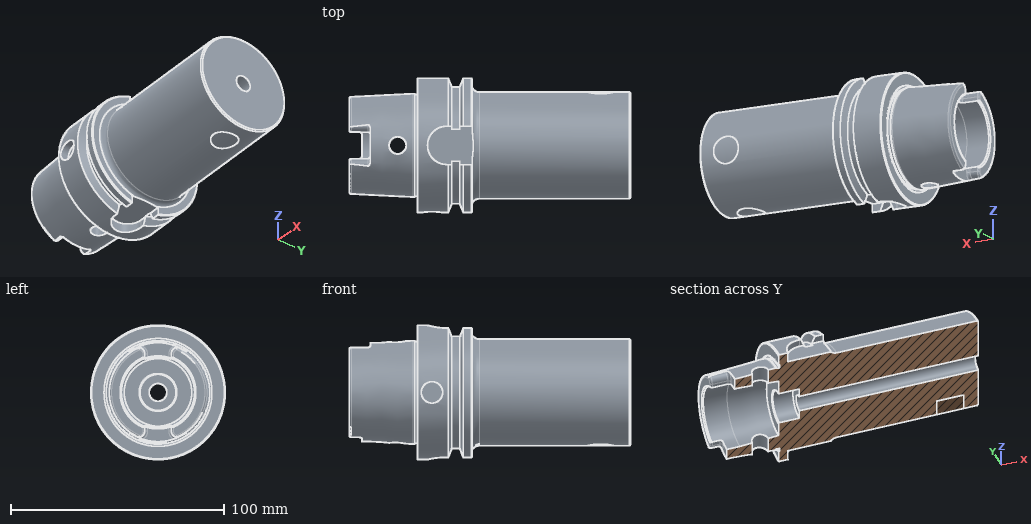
import cadquery as cq
import math

TOTAL_LENGTH = 131.9
FLANGE_RADIUS = 31.5
SHANK_RADIUS = 25.0
SHANK_CHAMFER = 0.7

NOSE_RADIUS = 22.8
TAPER_BASE_RADIUS = 24.3
TAPER_LENGTH = 29.8
COLLAR_END = 30.7
UNDERCUT_RADIUS = 23.9
UNDERCUT_RIM_RADIUS = 25.3
UNDERCUT_DEPTH = 0.5
NOSE_ROUNDING = 0.9

FLANGE_START = 31.8
FLANGE_END = 57.6
FLANGE_CHAMFER = 0.4
GROOVE_START = 46.4
GROOVE_END = 53.4
GROOVE_FLANK_WIDTH = 1.7
GROOVE_RADIUS = 27.5
NECK_RADIUS = 27.2
NECK_END = 60.8

MOUTH_RADIUS = 17.1
MOUTH_CHAMFER = 0.7
MOUTH_DEPTH = 12.4
BORE_FLOOR_RADIUS = 15.8
BORE_DEPTH = FLANGE_START
COUNTERBORE_RADIUS = 8.5
COUNTERBORE_CHAMFER = 0.4
COUNTERBORE_DEPTH = 42.2
COOLANT_RADIUS = 4.1

DRIVE_SLOT_WIDTH = 12.4
UPPER_DRIVE_DEPTH = 9.9
LOWER_DRIVE_DEPTH = 6.0
DRIVE_SHOULDER_HEIGHT = 21.1
DRIVE_LIP_RADIUS = 3.0
DRIVE_END_ROUNDING = 1.2

CROSS_HOLE_X = 22.7
CROSS_HOLE_RADIUS = 4.0
DATA_HOLE_X = 38.8
DATA_HOLE_RADIUS = 5.0
DATA_HOLE_DEPTH = 4.5

FLANGE_SLOT_START = 36.7
FLANGE_SLOT_FLOOR = 26.4
UPPER_FLANGE_SLOT_WIDTH = 18.0
LOWER_FLANGE_SLOT_WIDTH = 15.5

PLUG_X = 117.8
PLUG_RADIUS = 6.6
PLUG_LENGTH = 7.9
PLUG_ANGLES = (0, -90)

EDGE_MARGIN = 0.1


def revolved(profile):
    return profile.close().revolve(360, (0, 0, 0), (1, 0, 0))


def outer_body():
    groove_floor_start = GROOVE_START + GROOVE_FLANK_WIDTH
    groove_floor_end = GROOVE_END - GROOVE_FLANK_WIDTH
    neck_run = NECK_END - FLANGE_END
    neck_rise = NECK_RADIUS - SHANK_RADIUS
    arc_radius = (neck_run**2 + neck_rise**2) / (2 * neck_rise)
    half_angle = math.atan2(neck_run, arc_radius - neck_rise) / 2
    arc_middle = (
        NECK_END - arc_radius * math.sin(half_angle),
        SHANK_RADIUS + arc_radius * (1 - math.cos(half_angle)),
    )
    rim_inset = NOSE_ROUNDING * (1 - math.sqrt(0.5))
    rim_middle = (rim_inset, NOSE_RADIUS - rim_inset)
    profile = (
        cq.Workplane("XY")
        .moveTo(0, 0)
        .lineTo(0, NOSE_RADIUS - NOSE_ROUNDING)
        .threePointArc(rim_middle, (NOSE_ROUNDING, NOSE_RADIUS))
        .lineTo(TAPER_LENGTH, TAPER_BASE_RADIUS)
        .lineTo(COLLAR_END, TAPER_BASE_RADIUS)
        .lineTo(COLLAR_END, UNDERCUT_RADIUS)
        .lineTo(FLANGE_START + UNDERCUT_DEPTH, UNDERCUT_RADIUS)
        .lineTo(FLANGE_START + UNDERCUT_DEPTH, UNDERCUT_RIM_RADIUS)
        .lineTo(FLANGE_START, UNDERCUT_RIM_RADIUS)
        .lineTo(FLANGE_START, FLANGE_RADIUS - FLANGE_CHAMFER)
        .lineTo(FLANGE_START + FLANGE_CHAMFER, FLANGE_RADIUS)
        .lineTo(GROOVE_START, FLANGE_RADIUS)
        .lineTo(groove_floor_start, GROOVE_RADIUS)
        .lineTo(groove_floor_end, GROOVE_RADIUS)
        .lineTo(GROOVE_END, FLANGE_RADIUS)
        .lineTo(FLANGE_END - FLANGE_CHAMFER, FLANGE_RADIUS)
        .lineTo(FLANGE_END, FLANGE_RADIUS - FLANGE_CHAMFER)
        .lineTo(FLANGE_END, NECK_RADIUS)
        .threePointArc(arc_middle, (NECK_END, SHANK_RADIUS))
        .lineTo(TOTAL_LENGTH - SHANK_CHAMFER, SHANK_RADIUS)
        .lineTo(TOTAL_LENGTH, SHANK_RADIUS - SHANK_CHAMFER)
        .lineTo(TOTAL_LENGTH, 0)
    )
    return revolved(profile)


def stepped_bore():
    profile = (
        cq.Workplane("XY")
        .moveTo(0, 0)
        .lineTo(0, MOUTH_RADIUS + MOUTH_CHAMFER)
        .lineTo(MOUTH_CHAMFER, MOUTH_RADIUS)
        .lineTo(MOUTH_DEPTH, MOUTH_RADIUS)
        .lineTo(BORE_DEPTH, BORE_FLOOR_RADIUS)
        .lineTo(BORE_DEPTH, COUNTERBORE_RADIUS + COUNTERBORE_CHAMFER)
        .lineTo(BORE_DEPTH + COUNTERBORE_CHAMFER, COUNTERBORE_RADIUS)
        .lineTo(COUNTERBORE_DEPTH, COUNTERBORE_RADIUS)
        .lineTo(COUNTERBORE_DEPTH, COOLANT_RADIUS)
        .lineTo(TOTAL_LENGTH, COOLANT_RADIUS)
        .lineTo(TOTAL_LENGTH, 0)
    )
    return revolved(profile)


def drive_slot(depth):
    """Slot at +Z that widens over rounded lips onto a flat shoulder on each side."""
    half_width = DRIVE_SLOT_WIDTH / 2
    floor = MOUTH_RADIUS / 2
    top = FLANGE_RADIUS
    shoulder = DRIVE_SHOULDER_HEIGHT
    lip_y = half_width + DRIVE_LIP_RADIUS
    lip_z = shoulder - DRIVE_LIP_RADIUS
    diagonal = DRIVE_LIP_RADIUS * math.sqrt(0.5)
    lip_middle = (lip_y - diagonal, lip_z + diagonal)
    slot = (
        cq.Workplane("YZ")
        .moveTo(-half_width, floor)
        .lineTo(half_width, floor)
        .lineTo(half_width, lip_z)
        .threePointArc(lip_middle, (lip_y, shoulder))
        .lineTo(top, shoulder)
        .lineTo(top, top)
        .lineTo(-top, top)
        .lineTo(-top, shoulder)
        .lineTo(-lip_y, shoulder)
        .threePointArc((-lip_middle[0], lip_middle[1]), (-half_width, lip_z))
        .close()
        .extrude(depth)
    )
    slot = slot.faces(">X").edges().fillet(DRIVE_END_ROUNDING)
    plate = cq.Workplane("YZ").rect(4 * top, 4 * top).extrude(-NOSE_ROUNDING)
    reach = 1.1 * top
    mouth_edge = cq.selectors.BoxSelector((-EDGE_MARGIN, -reach, 0), (EDGE_MARGIN, reach, reach))
    return slot.union(plate).edges(mouth_edge).fillet(NOSE_ROUNDING)


def flange_slot(width):
    """Flat-floored slot at +Z, round at its -X end and open at the +X end of the flange."""
    centre_x = FLANGE_SLOT_START + width / 2
    return (
        cq.Workplane("XY", origin=(0, 0, FLANGE_SLOT_FLOOR))
        .moveTo(NECK_END, -width / 2)
        .lineTo(centre_x, -width / 2)
        .threePointArc((FLANGE_SLOT_START, 0), (centre_x, width / 2))
        .lineTo(NECK_END, width / 2)
        .close()
        .extrude(FLANGE_RADIUS)
    )


def turned_over(shape):
    return shape.rotate((0, 0, 0), (1, 0, 0), 180)


def cross_hole():
    return (
        cq.Workplane("XY", origin=(CROSS_HOLE_X, 0, -FLANGE_RADIUS))
        .circle(CROSS_HOLE_RADIUS)
        .extrude(2 * FLANGE_RADIUS)
    )


def data_hole():
    return (
        cq.Workplane("XZ", origin=(DATA_HOLE_X, DATA_HOLE_DEPTH - FLANGE_RADIUS, 0))
        .circle(DATA_HOLE_RADIUS)
        .extrude(FLANGE_RADIUS)
    )


def make_plug(angle):
    """Round plug whose outer end follows the shank surface."""
    stem = (
        cq.Workplane("XZ", origin=(PLUG_X, SHANK_RADIUS - PLUG_LENGTH, 0))
        .circle(PLUG_RADIUS)
        .extrude(-2 * PLUG_LENGTH)
    )
    shank = cq.Workplane("YZ").circle(SHANK_RADIUS).extrude(TOTAL_LENGTH)
    return stem.intersect(shank).rotate((0, 0, 0), (1, 0, 0), angle)


def make_holder(plugs):
    body = outer_body().cut(drive_slot(UPPER_DRIVE_DEPTH))
    body = body.cut(turned_over(drive_slot(LOWER_DRIVE_DEPTH)))
    body = body.cut(stepped_bore())
    body = body.cut(flange_slot(UPPER_FLANGE_SLOT_WIDTH))
    body = body.cut(turned_over(flange_slot(LOWER_FLANGE_SLOT_WIDTH)))
    body = body.cut(cross_hole()).cut(data_hole())
    for plug in plugs:
        body = body.cut(plug)
    return body


plugs = [make_plug(angle) for angle in PLUG_ANGLES]
holder = make_holder(plugs)
result = cq.Compound.makeCompound([holder.val(), *[plug.val() for plug in plugs]])